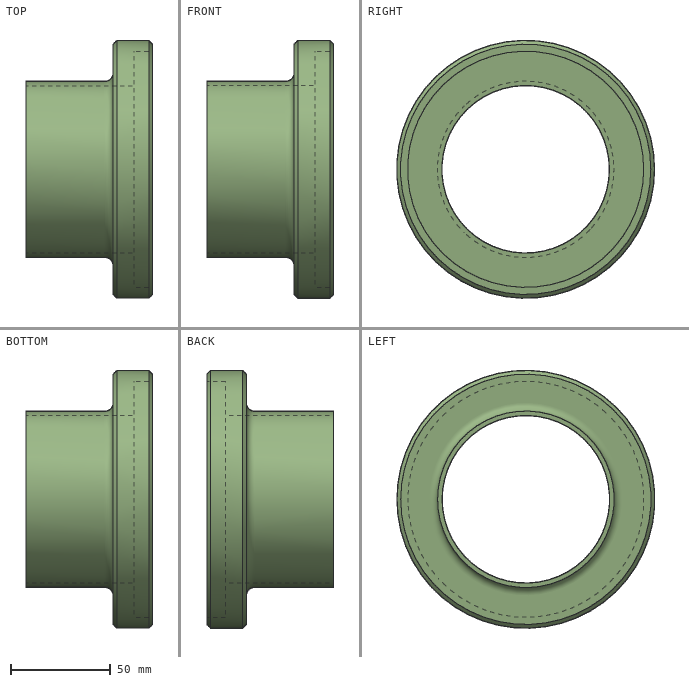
import cadquery as cq

total_length = 64.0
flange_diameter = 130.0
flange_thickness = 20.0
tube_diameter = 88.9
bore_diameter = 84.2
recess_diameter = 119.0
recess_depth = 9.5
rim_chamfer = 2.0
root_fillet = 4.0

tube_radius = tube_diameter / 2
flange_radius = flange_diameter / 2
flange_face_x = total_length - flange_thickness


def flange():
    """Disc with both outer rims chamfered."""
    disc = cq.Workplane("YZ", origin=(flange_face_x, 0, 0)).circle(flange_radius).extrude(flange_thickness)
    return disc.edges().chamfer(rim_chamfer)


def tube():
    """Solid spigot from the free end up to the flange."""
    return cq.Workplane("YZ").circle(tube_radius).extrude(flange_face_x)


def bore():
    """Straight hole through the whole length."""
    return cq.Workplane("YZ").circle(bore_diameter / 2).extrude(total_length)


def recess():
    """Round recess in the flange's end face."""
    floor = cq.Workplane("YZ", origin=(total_length - recess_depth, 0, 0))
    return floor.circle(recess_diameter / 2).extrude(recess_depth)


body = flange().union(tube())

root_edge = cq.selectors.RadiusNthSelector(0)
flange_face = cq.selectors.NearestToPointSelector((flange_face_x, 0, (tube_radius + flange_radius) / 2))
body = body.faces(flange_face).edges(root_edge).fillet(root_fillet)

result = body.cut(bore()).cut(recess())